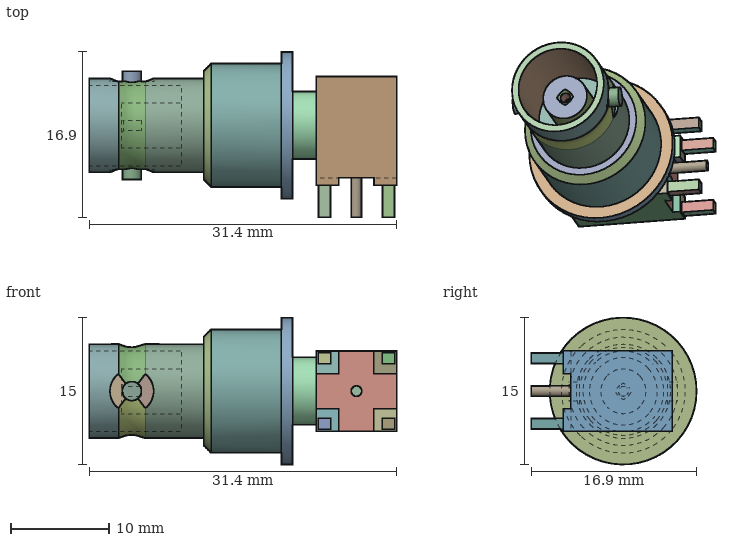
import cadquery as cq
import math

LENGTH = 31.4

barrel_radius = 4.8
mouth_radius = 4.1
mouth_depth = 9.42

lug_x = 4.35
lug_radius = 0.97
lug_reach = 5.53
seat_radius = 2.23
seat_level = 4.5
groove_half_width = 1.35
groove_depth = 0.3

sleeve_start = 11.68
sleeve_radius = 6.3
sleeve_chamfer = 0.8
flange_start = 19.62
flange_thickness = 1.15
flange_radius = 7.5
neck_radius = 3.45

insulator_radius = 2.3
insulator_face = 3.3
contact_bore_radius = 0.5
contact_bore_depth = 2.0
contact_rim_corner = 0.85
contact_rim_bulge = 0.7
contact_flare_depth = 0.2

block_side = 8.23
block_back = 5.0
block_floor = -5.37
foot_side = 2.32
foot_level = -6.12
pin_end = -9.4
corner_pin_x = 1.25
corner_pin_z = 1.1
corner_pin_inset = 0.22
signal_pin_radius = 0.53

block_start = LENGTH - block_side
block_x = LENGTH - block_side / 2


def cylinder_x(start, end, radius):
    """Solid cylinder on the coaxial axis."""
    return cq.Workplane("YZ").workplane(offset=start).circle(radius).extrude(end - start)


def cylinder_y(x, radius, start, end):
    """Solid cylinder parallel to Y at Z = 0."""
    return cq.Workplane("XZ", origin=(x, start, 0)).circle(radius).extrude(start - end)


def box_y(x, z, size_x, size_z, start, end):
    """Rectangular bar parallel to Y, centred on x and z."""
    return cq.Workplane("XZ", origin=(x, start, z)).rect(size_x, size_z).extrude(start - end)


def make_body():
    """Barrel, chamfered sleeve, flange and neck."""
    barrel = cylinder_x(0, flange_start, barrel_radius)
    sleeve = cylinder_x(sleeve_start, flange_start, sleeve_radius).faces("<X").chamfer(sleeve_chamfer)
    flange_end = flange_start + flange_thickness
    flange = cylinder_x(flange_start, flange_end, flange_radius)
    neck = cylinder_x(flange_end, block_start, neck_radius)
    return barrel.union(sleeve).union(flange).union(neck)


def make_groove():
    """Ring with an arched floor, cut around the barrel at the lugs."""
    return (
        cq.Workplane("XY")
        .moveTo(lug_x - groove_half_width, barrel_radius)
        .threePointArc((lug_x, barrel_radius - groove_depth), (lug_x + groove_half_width, barrel_radius))
        .lineTo(lug_x + groove_half_width, lug_reach)
        .lineTo(lug_x - groove_half_width, lug_reach)
        .close()
        .revolve(360, (0, 0, 0), (1, 0, 0))
    )


def four_arc_outline(plane, corner, bulge):
    """Closed outline of four arcs, with corners on the Y and Z axes; a circle when corner equals bulge."""
    diagonal = bulge * math.sqrt(0.5)
    return (
        plane.moveTo(corner, 0)
        .threePointArc((diagonal, diagonal), (0, corner))
        .threePointArc((-diagonal, diagonal), (-corner, 0))
        .threePointArc((-diagonal, -diagonal), (0, -corner))
        .threePointArc((diagonal, -diagonal), (corner, 0))
        .close()
    )


def make_contact_opening():
    """Round bore whose mouth flares out to a rim with four corners."""
    rim_plane = cq.Workplane("YZ", origin=(insulator_face, 0, 0))
    rim = four_arc_outline(rim_plane, contact_rim_corner, contact_rim_bulge)
    throat = rim.workplane(offset=contact_flare_depth)
    flare = four_arc_outline(throat, contact_bore_radius, contact_bore_radius).loft(ruled=True)
    return flare.union(cylinder_x(insulator_face, insulator_face + contact_bore_depth, contact_bore_radius))


def make_block():
    """Right-angle block with four feet, four corner pins and the signal pin."""
    block = box_y(block_x, 0, block_side, block_side, block_back, block_floor)
    foot_offset = (block_side - foot_side) / 2
    pin_offset_x = block_side / 2 - corner_pin_inset - corner_pin_x / 2
    pin_offset_z = block_side / 2 - corner_pin_inset - corner_pin_z / 2
    for side_x in (-1, 1):
        for side_z in (-1, 1):
            foot = box_y(block_x + side_x * foot_offset, side_z * foot_offset,
                         foot_side, foot_side, block_floor, foot_level)
            pin = box_y(block_x + side_x * pin_offset_x, side_z * pin_offset_z,
                        corner_pin_x, corner_pin_z, block_floor, pin_end)
            block = block.union(foot).union(pin)
    return block.union(cylinder_y(block_x, signal_pin_radius, block_floor, pin_end))


def add_lugs(barrel):
    """Sink a flat round seat on each side of the barrel and stand a lug on it."""
    for side in (-1, 1):
        barrel = barrel.cut(cylinder_y(lug_x, seat_radius, side * seat_level, side * barrel_radius))
        barrel = barrel.union(cylinder_y(lug_x, lug_radius, side * mouth_radius, side * lug_reach))
    return barrel


body = add_lugs(make_body().cut(make_groove()))
body = body.cut(cylinder_x(0, mouth_depth, mouth_radius))
body = body.union(cylinder_x(insulator_face, mouth_depth, insulator_radius))
body = body.cut(make_contact_opening())

result = body.union(make_block())